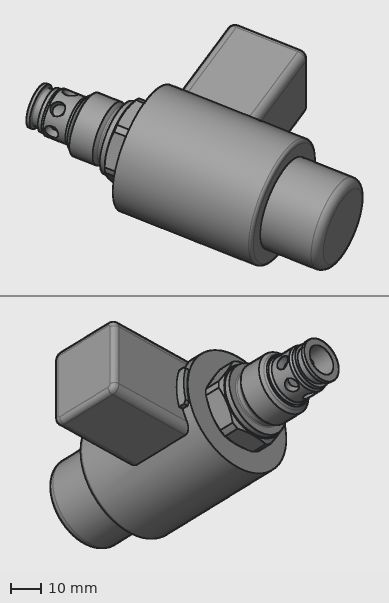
import cadquery as cq
import math


tip_radius = 7.9
seal_groove_radius = 6.8
seal_groove_start = 1.3
seal_groove_end = 4.4
seal_groove_root_radius = 0.3
tip_end = 5.7
cage_start = 6.6
cage_radius = 8.5
cage_end = 15.0
cage_flare_end = 16.0
cage_flare_radius = 8.9
shoulder_start = 16.3
shoulder_start_radius = 9.5
shoulder_bend = 17.1
shoulder_bend_radius = 10.2
thread_start = 18.1
thread_radius = 11.3
thread_end = 26.8
neck_radius = 10.0
neck_start = thread_end + thread_radius - neck_radius
runout_root_radius = 0.9
washer_root_radius = 0.3

bore_radius = 5.4
bore_depth = cage_end
port_count = 6
port_diameter = 5.0
port_x = 9.8

washer_start = 30.5
washer_radius = 13.0
hex_start = 32.5
hex_sides = 6
hex_across_flats = 27.4
hex_corner_radius = 15.1
hex_face_radius = 13.5
hex_chamfer_angle = 30.0

coil_start = 40.4
coil_end = 92.5
coil_diameter = 45.0
coil_radius = coil_diameter / 2
coil_edge_radius = 1.1
cap_end = 114.5
cap_radius = 16.4
cap_edge_radius = 3.0

overall_width = 75.0
connector_start = 44.2
connector_width = 29.1
connector_height = connector_width
connector_reach = overall_width - coil_radius
connector_side_radius = 3.0
connector_end_radius = 2.1

key_start = coil_start + 0.3
key_end = connector_start + connector_width / 2
key_radius = 24.0
key_width = 14.9
key_chamfer = 1.0


def rod(start, end, radius):
    """Solid cylinder along X."""
    return cq.Workplane("YZ", origin=(start, 0, 0)).circle(radius).extrude(end - start)


def turn(profile):
    """Solid of revolution about X from (x, radius) points."""
    return cq.Workplane("XY").polyline(profile).close().revolve(360, (0, 0, 0), (1, 0, 0))


def fillet_root(body, x, edge_radius, fillet_radius):
    """Fillet the circular inner corner at x, leaving any larger circle at the same x sharp."""
    margin = 0.1
    reach = edge_radius + margin
    root = cq.selectors.BoxSelector(
        (x - margin, -reach, -reach), (x + margin, reach, reach), boundingbox=True
    )
    return body.edges(root).fillet(fillet_radius)


def make_nose():
    profile = [
        (0, 0),
        (0, tip_radius),
        (seal_groove_start, tip_radius),
        (seal_groove_start, seal_groove_radius),
        (seal_groove_end, seal_groove_radius),
        (seal_groove_end, tip_radius),
        (tip_end, tip_radius),
        (cage_start, cage_radius),
        (cage_end, cage_radius),
        (cage_flare_end, cage_flare_radius),
        (shoulder_start, shoulder_start_radius),
        (shoulder_bend, shoulder_bend_radius),
        (thread_start, thread_radius),
        (thread_end, thread_radius),
        (neck_start, neck_radius),
        (washer_start, neck_radius),
        (washer_start, washer_radius),
        (hex_start, washer_radius),
        (hex_start, 0),
    ]
    nose = turn(profile)
    nose = fillet_root(nose, seal_groove_start, seal_groove_radius, seal_groove_root_radius)
    nose = fillet_root(nose, neck_start, neck_radius, runout_root_radius)
    nose = fillet_root(nose, washer_start, neck_radius, washer_root_radius)
    nose = nose.cut(rod(0, bore_depth, bore_radius))
    for i in range(port_count):
        port = (
            cq.Workplane("XY", origin=(port_x, 0, 0))
            .circle(port_diameter / 2)
            .extrude(cage_flare_radius)
            .rotate((0, 0, 0), (1, 0, 0), 90 + i * 360 / port_count)
        )
        nose = nose.cut(port)
    return nose


def make_hex():
    """Hexagon with two corners on the Y axis, its corners turned down and both ends chamfered."""
    chamfer_length = (hex_corner_radius - hex_face_radius) * math.tan(math.radians(hex_chamfer_angle))
    turned_profile = [
        (hex_start, 0),
        (hex_start, hex_face_radius),
        (hex_start + chamfer_length, hex_corner_radius),
        (coil_start - chamfer_length, hex_corner_radius),
        (coil_start, hex_face_radius),
        (coil_start, 0),
    ]
    across_corners = hex_across_flats / math.cos(math.pi / hex_sides)
    prism = (
        cq.Workplane("YZ", origin=(hex_start, 0, 0))
        .polygon(hex_sides, across_corners)
        .extrude(coil_start - hex_start)
    )
    return prism.intersect(turn(turned_profile))


def make_coil():
    return rod(coil_start, coil_end, coil_radius).faces(">X").edges().fillet(coil_edge_radius)


def make_cap():
    return rod(coil_end, cap_end, cap_radius).faces(">X").edges().fillet(cap_edge_radius)


def make_connector():
    return (
        cq.Workplane("XY")
        .box(connector_width, connector_reach, connector_height, centered=(False, False, True))
        .translate((connector_start, 0, 0))
        .edges("|Y")
        .fillet(connector_side_radius)
        .faces(">Y")
        .edges()
        .fillet(connector_end_radius)
    )


def make_key():
    blank = (
        cq.Workplane("XY")
        .box(key_end - key_start, key_radius, key_width, centered=(False, False, True))
        .translate((key_start, 0, 0))
        .edges("|Y and <X")
        .chamfer(key_chamfer)
    )
    return blank.intersect(rod(key_start, key_end, key_radius))


result = (
    make_nose()
    .union(make_hex())
    .union(make_coil())
    .union(make_cap())
    .union(make_connector())
    .union(make_key())
)